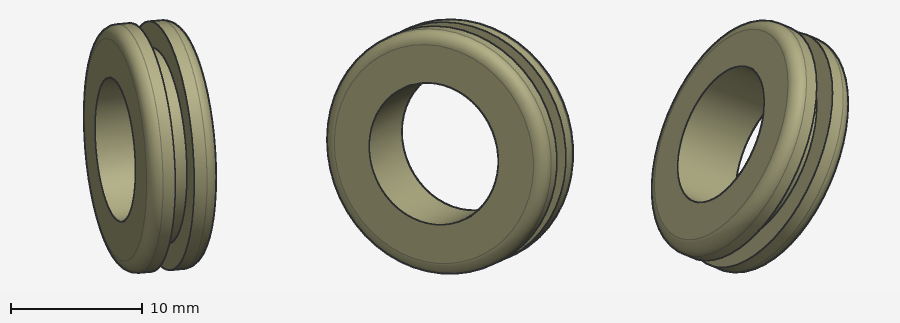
import cadquery as cq

outer_diameter = 19.0
hub_diameter = 15.0
bore_diameter = 11.0
width = 5.5
groove_width = 1.5
edge_radius = 1.0


def disc(diameter, length):
    """Solid cylinder along Y, centred on the origin."""
    return cq.Workplane("XZ").circle(diameter / 2).extrude(length / 2, both=True)


body = disc(outer_diameter, width).edges().fillet(edge_radius)

groove = disc(outer_diameter, groove_width).cut(disc(hub_diameter, width))

bore = disc(bore_diameter, width)

result = body.cut(groove).cut(bore)